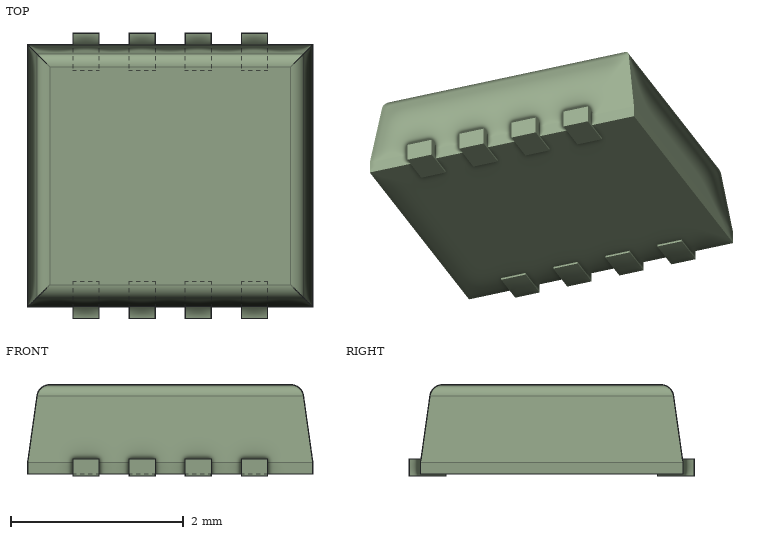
import cadquery as cq

span_y = 3.3
total_height = 1.06

body_length = 3.3
body_width = 3.035
standoff = 0.023
band_height = 0.135
draft_angle = 8.0
top_radius = 0.152

leads_per_row = 4
lead_pitch = 0.65
lead_width = 0.305
lead_height = 0.2
lead_length = 0.43

band_top = standoff + band_height
cap_height = total_height - band_top


def make_body():
    """Base band with the tapered cap, rounded around the top face."""
    band = (
        cq.Workplane("XY")
        .workplane(offset=standoff)
        .rect(body_length, body_width)
        .extrude(band_height)
    )
    cap = (
        cq.Workplane("XY")
        .workplane(offset=band_top)
        .rect(body_length, body_width)
        .extrude(cap_height, taper=draft_angle)
        .faces(">Z")
        .edges()
        .fillet(top_radius)
    )
    return band.union(cap)


def make_leads():
    """Rectangular leads in two rows, standing on Z = 0."""
    row_y = (span_y - lead_length) / 2
    first_x = -lead_pitch * (leads_per_row - 1) / 2
    centers = [
        (first_x + i * lead_pitch, side * row_y)
        for side in (-1, 1)
        for i in range(leads_per_row)
    ]
    return (
        cq.Workplane("XY")
        .pushPoints(centers)
        .rect(lead_width, lead_length)
        .extrude(lead_height)
    )


result = make_body().union(make_leads())